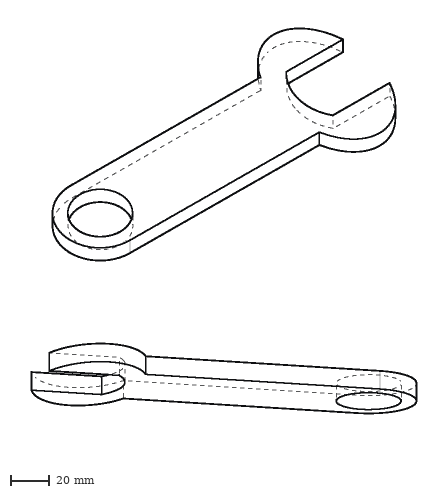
import cadquery as cq

length = 202.0
thickness = 10.0
handle_width = 50.1
hanging_hole_diameter = 34.0

head_width = 90.0
head_height = 58.8
jaw_width = 39.6
jaw_floor_radius = 31.5
jaw_floor_depth = 18.4

handle_radius = handle_width / 2
head_half_width = head_width / 2
head_half_height = head_height / 2
jaw_half_width = jaw_width / 2

tip_height = head_half_height * (1 - (jaw_half_width / head_half_width) ** 2) ** 0.5
head_center_y = length - handle_radius - tip_height


def make_handle():
    """Straight bar with a round end, reaching into the head."""
    bar = (
        cq.Workplane("XY")
        .center(0, head_center_y / 2)
        .rect(handle_width, head_center_y)
        .extrude(thickness)
    )
    round_end = cq.Workplane("XY").circle(handle_radius).extrude(thickness)
    return bar.union(round_end)


def make_head():
    """Elliptical plate around the jaw."""
    return (
        cq.Workplane("XY")
        .center(0, head_center_y)
        .ellipse(head_half_width, head_half_height)
        .extrude(thickness)
    )


def make_jaw_cutter():
    """Parallel-sided slot with an arched floor, open at the top of the head."""
    floor_y = head_center_y - jaw_floor_depth
    floor_rise = jaw_floor_radius - (jaw_floor_radius**2 - jaw_half_width**2) ** 0.5
    corner_y = floor_y + floor_rise
    open_y = head_center_y + head_height
    return (
        cq.Workplane("XY")
        .moveTo(-jaw_half_width, open_y)
        .lineTo(-jaw_half_width, corner_y)
        .threePointArc((0, floor_y), (jaw_half_width, corner_y))
        .lineTo(jaw_half_width, open_y)
        .close()
        .extrude(thickness)
    )


hanging_hole = cq.Workplane("XY").circle(hanging_hole_diameter / 2).extrude(thickness)

result = make_handle().union(make_head()).cut(make_jaw_cutter()).cut(hanging_hole)